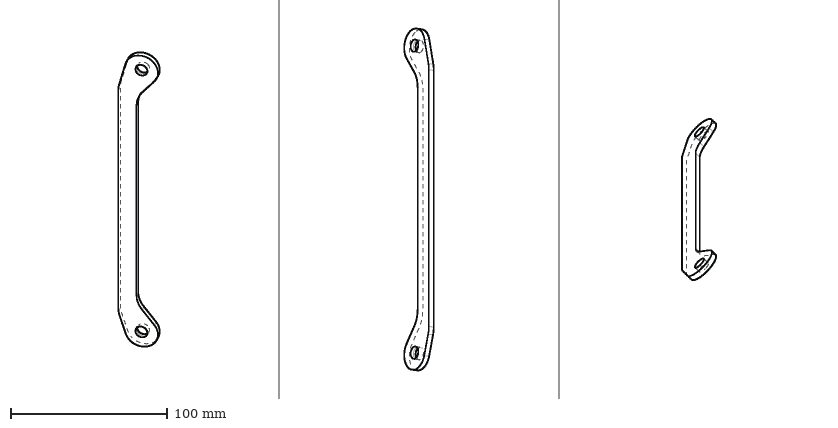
import cadquery as cq
import math

length = 222.0
thickness = 4.0
plate_width = 26.6
bar_width = 12.2
eye_radius = 11.0
hole_diameter = 8.0
upper_outer_slope = 14.5
lower_outer_slope = 17.5
inner_slope = 39.0
bend_radius = 16.6
plate_tilt = 5.3

eye_x = plate_width - eye_radius
eye_z = length / 2 - eye_radius


def eye_point(angle, side):
    """Point of an eye's rim, angle in degrees from +X; side is 1 for upper, -1 for lower."""
    a = math.radians(angle)
    return eye_x + eye_radius * math.cos(a), side * (eye_z + eye_radius * math.sin(a))


def bar_corner(tangent_point, edge_x, slope, side):
    """Point where the sloped line through tangent_point meets a bar edge."""
    x, z = tangent_point
    return edge_x, z - side * (x - edge_x) / math.tan(math.radians(slope))


def end_points(outer_slope, side):
    """Outline of one end, from the back edge of the bar around the eye to its front edge."""
    outer_tangent = eye_point(180 - outer_slope, side)
    inner_tangent = eye_point(-inner_slope, side)
    eye_tip = eye_point(90, side)
    outer_corner = bar_corner(outer_tangent, 0, outer_slope, side)
    inner_corner = bar_corner(inner_tangent, bar_width, inner_slope, side)
    return outer_corner, outer_tangent, eye_tip, inner_tangent, inner_corner


upper_end = end_points(upper_outer_slope, 1)
lower_end = end_points(lower_outer_slope, -1)


def make_plate():
    """Flat plate in XZ, its thickness along Y."""
    upper_outer, upper_outer_tangent, upper_tip, upper_inner_tangent, upper_inner = upper_end
    lower_outer, lower_outer_tangent, lower_tip, lower_inner_tangent, lower_inner = lower_end
    return (
        cq.Workplane("XZ")
        .moveTo(*upper_outer)
        .lineTo(*upper_outer_tangent)
        .threePointArc(upper_tip, upper_inner_tangent)
        .lineTo(*upper_inner)
        .lineTo(*lower_inner)
        .lineTo(*lower_inner_tangent)
        .threePointArc(lower_tip, lower_outer_tangent)
        .lineTo(*lower_outer)
        .close()
        .extrude(thickness / 2, both=True)
    )


def round_bends(plate):
    """Round the four bends where the bar runs into the sloped edges."""
    for end in (upper_end, lower_end):
        for x, z in (end[0], end[-1]):
            bend_edge = cq.selectors.NearestToPointSelector((x, 0, z))
            plate = plate.edges(bend_edge).fillet(bend_radius)
    return plate


plate = round_bends(make_plate())

eye_holes = (
    cq.Workplane("XZ")
    .pushPoints([(eye_x, eye_z), (eye_x, -eye_z)])
    .circle(hole_diameter / 2)
    .extrude(thickness, both=True)
)
plate = plate.cut(eye_holes)

result = plate.translate((-plate_width / 2, 0, 0)).rotate((0, 0, 0), (0, 0, 1), plate_tilt)